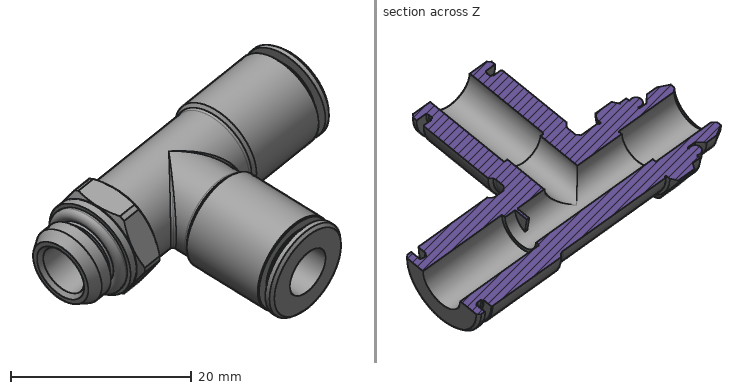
import cadquery as cq
import math


arm_length = 20.5
pipe_radius = 11.0 / 2
sleeve_radius = 12.0 / 2
collar_start = 7.2
collar_radius = 11.2 / 2
sleeve_start = 7.55
sleeve_chamfer_length = 0.4
sleeve_end = 18.5
sleeve_edge_break = 0.1
release_neck_radius = 8.9 / 2
release_step_radius = 9.45 / 2
release_step_end = sleeve_end + 0.15
release_flare_start = 19.2
release_flare_radius = 9.15 / 2
release_flange_start = 19.5
release_flange_chamfer = 0.4
tube_bore_radius = 6.0 / 2
tube_stop = 8.5

end_y = arm_length - 38.7
pipe_end_y = -8.48
hex_top_y = -8.65
hex_bottom_y = -12.2
flange_bottom_y = -13.25
seal_bottom_y = -14.35
thread_top_y = -15.25
thread_bottom_y = -16.8

relief_radius = 10.6 / 2
hex_flats = 12.0
hex_corner_radius = 13.45 / 2
hex_face_radius = 11.75 / 2
hex_chamfer_length = 0.5
seal_radius = 5.57
seal_section_radius = 0.77
thread_neck_radius = 7.9 / 2
thread_radius = 9.7 / 2
thread_end_radius = 8.15 / 2

bore_radius = 5.0 / 2
mouth_radius = 6.95 / 2
counterbore_radius = 6.0 / 2
counterbore_end_y = -9.3
mouth_depth = 0.5

web_y = 6.58
web_thickness = 0.4
web_edge_offset = 0.6
web_edge_tilt = -7.6

corner_bevel = 0.08


def turned(points):
    """Revolve a closed (radius, y) outline about the Y axis."""
    return cq.Workplane("XY").polyline(points).close().revolve(360, (0, 0, 0), (0, 1, 0))


def along_y(radius, start, end):
    """Cylinder on the Y axis between two Y positions."""
    return cq.Workplane("XZ", origin=(0, start, 0)).circle(radius).extrude(start - end)


def socket_arm():
    """Pipe, sleeve and release ring of one arm, pointing along +Y."""
    return turned([
        (0, 0),
        (pipe_radius, 0),
        (pipe_radius, collar_start),
        (collar_radius, sleeve_start),
        (sleeve_radius, sleeve_start + sleeve_chamfer_length),
        (sleeve_radius, sleeve_end - sleeve_edge_break),
        (sleeve_radius - sleeve_edge_break, sleeve_end),
        (release_step_radius, sleeve_end),
        (release_step_radius, release_step_end),
        (release_neck_radius, release_step_end),
        (release_neck_radius, release_flare_start),
        (release_flare_radius, release_flange_start),
        (sleeve_radius, release_flange_start),
        (sleeve_radius, arm_length - release_flange_chamfer),
        (sleeve_radius - release_flange_chamfer, arm_length),
        (0, arm_length),
    ])


def arm_bore():
    """Flow bore and wider tube socket of one arm, along +Y."""
    return along_y(bore_radius, 0, arm_length).union(along_y(tube_bore_radius, tube_stop, arm_length))


def to_branch(arm):
    """Turn an arm from +Y to +X."""
    return arm.rotate((0, 0, 0), (0, 0, 1), -90)


def corner_blend():
    """Elliptical bevel in the corner of the +X and +Y pipes; it fades out toward top and bottom."""
    diagonal_radius = pipe_radius * math.sqrt(2) * (1 + corner_bevel / 2)
    corner_plane = cq.Plane(origin=(0, 0, 0), xDir=(1, 1, 0), normal=(1, -1, 0))
    prism = cq.Workplane(corner_plane).ellipse(diagonal_radius, pipe_radius).extrude(pipe_radius, both=True)
    quadrant = cq.Workplane("XY").box(
        2 * pipe_radius, 2 * pipe_radius, 2 * pipe_radius, centered=(False, False, True)
    )
    return prism.intersect(quadrant)


def hexagon():
    """Hexagon with turned corners and chamfered ends; flats face up and down."""
    height = hex_top_y - hex_bottom_y
    prism = (
        cq.Workplane("XZ", origin=(0, hex_top_y, 0))
        .polygon(6, hex_flats / math.cos(math.pi / 6))
        .extrude(height)
    )
    envelope = turned([
        (0, hex_bottom_y),
        (hex_face_radius, hex_bottom_y),
        (hex_corner_radius, hex_bottom_y + hex_chamfer_length),
        (hex_corner_radius, hex_top_y - hex_chamfer_length),
        (hex_face_radius, hex_top_y),
        (0, hex_top_y),
    ])
    return prism.intersect(envelope)


def sealing_ring():
    """Round-section ring seated partly in the flange."""
    ring_center_radius = seal_radius - seal_section_radius
    ring_center_y = seal_bottom_y + seal_section_radius
    section = cq.Workplane("XY").center(ring_center_radius, ring_center_y).circle(seal_section_radius)
    return section.revolve(360, (-ring_center_radius, 0, 0), (-ring_center_radius, 1, 0))


def threaded_end():
    """Lower pipe, relief, flange, sealing ring and plain thread body."""
    body = turned([
        (0, 0),
        (pipe_radius, 0),
        (pipe_radius, pipe_end_y),
        (relief_radius, pipe_end_y),
        (relief_radius, hex_bottom_y),
        (sleeve_radius, hex_bottom_y),
        (sleeve_radius, flange_bottom_y),
        (thread_neck_radius, flange_bottom_y),
        (thread_neck_radius, seal_bottom_y),
        (thread_radius, thread_top_y),
        (thread_radius, thread_bottom_y),
        (thread_end_radius, end_y),
        (0, end_y),
    ])
    return body.union(sealing_ring()).union(hexagon())


def thread_bore():
    """Flow bore with a counterbore and a conical mouth at the threaded end."""
    mouth = turned([
        (0, end_y),
        (mouth_radius, end_y),
        (counterbore_radius, end_y + mouth_depth),
        (counterbore_radius, counterbore_end_y),
        (0, counterbore_end_y),
    ])
    return along_y(bore_radius, end_y, 0).union(mouth)


def bore_web():
    """Thin web closing the +X segment of the run bore, with a slightly tilted straight edge."""
    disc = along_y(bore_radius + web_thickness, web_y, web_y + web_thickness)
    side = (
        cq.Workplane("XY", origin=(web_edge_offset, web_y, 0))
        .box(2 * pipe_radius, 2 * pipe_radius, 2 * pipe_radius, centered=(False, True, True))
        .rotate((web_edge_offset, 0, 0), (web_edge_offset, 1, 0), web_edge_tilt)
    )
    return disc.intersect(side)


run_arm = socket_arm()
blend = corner_blend()
body = threaded_end().union(run_arm).union(to_branch(run_arm))
body = body.union(blend).union(blend.mirror("XZ"))
body = body.cut(thread_bore()).cut(arm_bore()).cut(to_branch(arm_bore()))
result = body.union(bore_web())